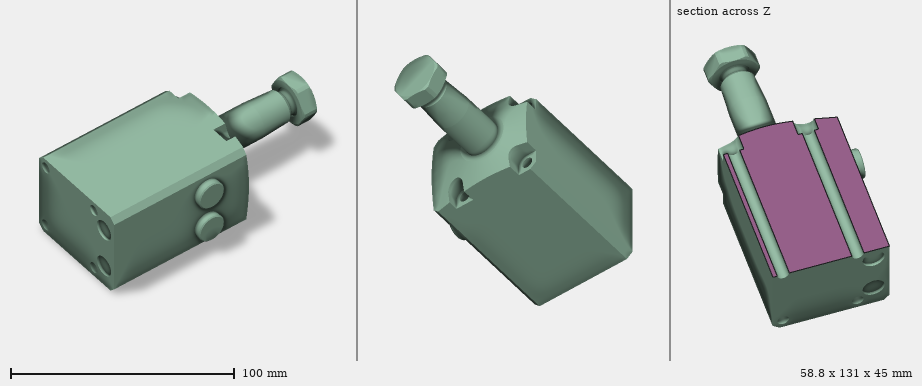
import cadquery as cq
import math


HOUSING_HALF_HEIGHT = 22.5
HOUSING_LEFT = -HOUSING_HALF_HEIGHT
HOUSING_RIGHT = 32.5
HOUSING_LENGTH = 81.6
EDGE_CHAMFER = 2.8
LEFT_CHAMFER_WIDTH = 3.3
CROWN_FLAT_RADIUS = 12.0
CROWN_SLOPE = 15.0

MOUNT_OFFSET = 17.5
MOUNT_HOLE_DIAMETER = 5.5
HEAD_RECESS_RADIUS = 4.7
HEAD_SEAT_Y = 71.3

PORT_X = 25.0
PORT_OFFSET_Z = 11.0
PORT_DIAMETER = 10.3
PORT_DEPTH = 1.5

PLUG_DIAMETER = 14.0
PLUG_HEIGHT = 3.8
PLUG_CHAMFER = 0.5
PLUG_Y = 52.4
PLUG_OFFSET_Z = 10.1

ROD_RADIUS = 9.0
ROD_TAPER_RADIUS = 8.1
ROD_TAPER_START_Y = 103.2
ROD_TAPER_END_Y = 118.3
NECK_RADIUS = 6.0
NECK_START_Y = 120.5
STUD_RADIUS = 7.0

NUT_BOTTOM_Y = 122.9
NUT_TOP_Y = 131.0
NUT_ACROSS_FLATS = 22.0
NUT_CORNER_RADIUS = 12.2
NUT_FACE_RADIUS = 10.9
NUT_CHAMFER_LENGTH = 0.7
COUNTERSINK_RADIUS = 7.2

GROOVE_BOTTOM_Y = NUT_BOTTOM_Y + STUD_RADIUS - NECK_RADIUS


def plane_at(y):
    """Plane across the rod axis: local x is X, local y is Z, negative extrusions go toward +Y."""
    return cq.Workplane(cq.Plane(origin=(0, y, 0), xDir=(1, 0, 0), normal=(0, -1, 0)))


def revolve_about_rod_axis(points):
    """Turn a closed (radius, Y) outline about the rod axis."""
    return cq.Workplane("XY").polyline(points).close().revolve(360, (0, 0, 0), (0, 1, 0))


def make_block():
    """Block with four bevelled long edges."""
    top = HOUSING_HALF_HEIGHT
    shoulder = top - EDGE_CHAMFER
    left_flat = HOUSING_LEFT + LEFT_CHAMFER_WIDTH
    right_flat = HOUSING_RIGHT - EDGE_CHAMFER
    outline = [
        (left_flat, -top),
        (right_flat, -top),
        (HOUSING_RIGHT, -shoulder),
        (HOUSING_RIGHT, shoulder),
        (right_flat, top),
        (left_flat, top),
        (HOUSING_LEFT, shoulder),
        (HOUSING_LEFT, -shoulder),
    ]
    return plane_at(0).polyline(outline).close().extrude(-HOUSING_LENGTH)


def make_crown_envelope():
    """Cylinder with a flat-topped conical end that trims the block to its crown."""
    radius = 2 * HOUSING_RIGHT
    rim_y = HOUSING_LENGTH - (radius - CROWN_FLAT_RADIUS) * math.tan(math.radians(CROWN_SLOPE))
    return revolve_about_rod_axis(
        [(0, 0), (radius, 0), (radius, rim_y), (CROWN_FLAT_RADIUS, HOUSING_LENGTH), (0, HOUSING_LENGTH)]
    )


def make_corner_recess(side):
    """Corner notch on the -X side, rounded at its inner corner; side is the sign of Z."""
    inner = MOUNT_OFFSET - HEAD_RECESS_RADIUS
    width = HOUSING_HALF_HEIGHT - inner
    centre = inner + width / 2
    return (
        plane_at(HEAD_SEAT_Y)
        .center(-centre, side * centre)
        .rect(width, width)
        .extrude(HEAD_SEAT_Y - HOUSING_LENGTH)
        .edges("|Y and >X and " + ("<Z" if side > 0 else ">Z"))
        .fillet(HEAD_RECESS_RADIUS)
    )


def make_slot_recess(side):
    """Round-ended slot on the +X side, open toward the outer Z face; side is the sign of Z."""
    depth = HEAD_SEAT_Y - HOUSING_LENGTH
    length = HOUSING_HALF_HEIGHT - MOUNT_OFFSET
    seat = plane_at(HEAD_SEAT_Y).center(MOUNT_OFFSET, side * MOUNT_OFFSET)
    round_end = seat.circle(HEAD_RECESS_RADIUS).extrude(depth)
    mouth = seat.center(0, side * length / 2).rect(2 * HEAD_RECESS_RADIUS, length).extrude(depth)
    return round_end.union(mouth)


def make_housing():
    housing = make_block().intersect(make_crown_envelope())
    for side in (-1, 1):
        housing = housing.cut(make_corner_recess(side)).cut(make_slot_recess(side))
    mount_holes = (
        plane_at(0)
        .rect(2 * MOUNT_OFFSET, 2 * MOUNT_OFFSET, forConstruction=True)
        .vertices()
        .circle(MOUNT_HOLE_DIAMETER / 2)
        .extrude(-HOUSING_LENGTH)
    )
    ports = (
        plane_at(0)
        .pushPoints([(PORT_X, -PORT_OFFSET_Z), (PORT_X, PORT_OFFSET_Z)])
        .circle(PORT_DIAMETER / 2)
        .extrude(-PORT_DEPTH)
    )
    return housing.cut(mount_holes).cut(ports)


def make_rod():
    """Rod that stands on the crown, tapers to a neck and ends in a stud flush with the nut."""
    return revolve_about_rod_axis(
        [
            (0, HOUSING_LENGTH),
            (ROD_RADIUS, HOUSING_LENGTH),
            (ROD_RADIUS, ROD_TAPER_START_Y),
            (ROD_TAPER_RADIUS, ROD_TAPER_END_Y),
            (NECK_RADIUS, NECK_START_Y),
            (NECK_RADIUS, NUT_BOTTOM_Y),
            (STUD_RADIUS, GROOVE_BOTTOM_Y),
            (STUD_RADIUS, NUT_TOP_Y),
            (0, NUT_TOP_Y),
        ]
    )


def make_nut():
    """Hexagon with turned corners, bored for the stud and countersunk on the rod side."""
    across_corners = NUT_ACROSS_FLATS / math.cos(math.radians(30))
    hexagon = plane_at(NUT_BOTTOM_Y).polygon(6, across_corners).extrude(NUT_BOTTOM_Y - NUT_TOP_Y)
    turned_ring = revolve_about_rod_axis(
        [
            (COUNTERSINK_RADIUS, NUT_BOTTOM_Y),
            (NUT_FACE_RADIUS, NUT_BOTTOM_Y),
            (NUT_CORNER_RADIUS, NUT_BOTTOM_Y + NUT_CHAMFER_LENGTH),
            (NUT_CORNER_RADIUS, NUT_TOP_Y - NUT_CHAMFER_LENGTH),
            (NUT_FACE_RADIUS, NUT_TOP_Y),
            (STUD_RADIUS, NUT_TOP_Y),
            (STUD_RADIUS, GROOVE_BOTTOM_Y),
        ]
    )
    return hexagon.intersect(turned_ring)


def make_plug(z):
    """Round plug on the +X face with a chamfered outer rim."""
    return (
        cq.Workplane("YZ", origin=(HOUSING_RIGHT, PLUG_Y, z))
        .circle(PLUG_DIAMETER / 2)
        .extrude(PLUG_HEIGHT)
        .faces(">X")
        .chamfer(PLUG_CHAMFER)
    )


housing = make_housing()
rod = make_rod()
nut = make_nut()
plugs = [make_plug(side * PLUG_OFFSET_Z) for side in (-1, 1)]

result = cq.Compound.makeCompound([housing.val(), rod.val(), nut.val(), *[plug.val() for plug in plugs]])